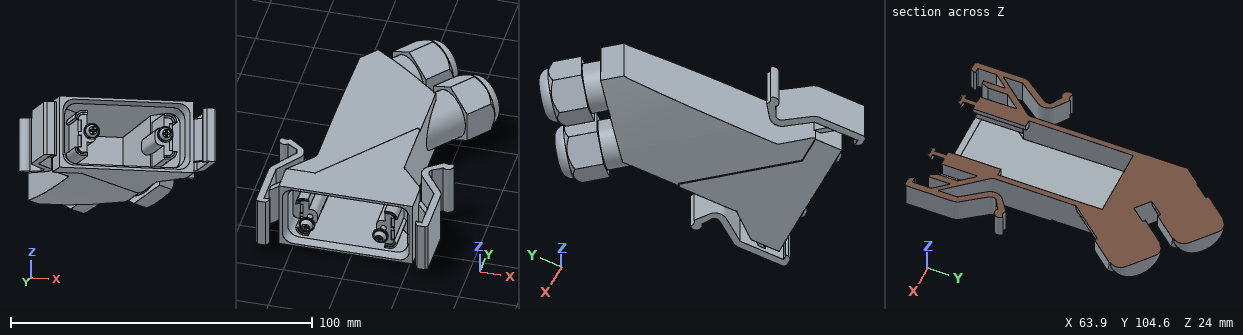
import cadquery as cq
import math

SLANT = math.radians(50)
ALONG = cq.Vector(math.cos(SLANT), math.sin(SLANT))
ACROSS = cq.Vector(-math.sin(SLANT), math.cos(SLANT))

BASE_HALF_WIDTH = 22.9
BASE_HEIGHT = 10.5
NECK_HALF_WIDTH = 15.0
SHOULDER_RUN = BASE_HALF_WIDTH - NECK_HALF_WIDTH
NECK_START = BASE_HEIGHT + SHOULDER_RUN * math.tan(SLANT)
SHOULDER_FILLET = 2.4
NECK_CORNER_Y = 77.3
CORNER_LIP = 0.2
CORNER_LIP_LENGTH = 1.6
PEAK_X = -10.0
PEAK_Y = NECK_CORNER_Y + (PEAK_X + NECK_HALF_WIDTH + CORNER_LIP) * math.tan(SLANT)
GLAND_FACE_END_Y = PEAK_Y - (NECK_HALF_WIDTH - PEAK_X) / math.tan(SLANT)
THICKNESS = 24.0
PAD_STEP = 0.6
NECK_HALF_THICKNESS = THICKNESS / 2 - PAD_STEP
PAD_CORNER = (-13.0, 9.8)
PAD_TIP_X = 14.0

CURVE_START = cq.Vector(-NECK_HALF_WIDTH, 33.7)
CURVE_RADIUS = 221.7
CURVE_REACH = 36.6

MOUTH_HALF_WIDTH = 21.6
MOUTH_HALF_THICKNESS = 11.1
MOUTH_CORNER = 3.8
MOUTH_BEVEL_DEPTH = 2.7
CAVITY_HALF_WIDTH = 20.5
CAVITY_HALF_THICKNESS = 10.1
CAVITY_CORNER = 4.1
CAVITY_SHOULDER_Y = 9.7
DRAFT_START_Y = 11.5
CAVITY_NECK_HALF_WIDTH = 12.8
CAVITY_NECK_Y = CAVITY_SHOULDER_Y + (CAVITY_HALF_WIDTH - CAVITY_NECK_HALF_WIDTH) * math.tan(SLANT)
CAVITY_END_Y = 58.6
CAVITY_END_HALF_THICKNESS = 9.5

FIRST_GLAND = cq.Vector(0.7, 82.6)
GLAND_PITCH = 23.4
SHANK_RADIUS = 8.5
SHANK_LENGTHS = (8.4, 16.7)
NUT_FLATS = 19.0
NUT_CORNERS = NUT_FLATS / math.cos(math.pi / 6)
NUT_EDGE_LENGTH = 9.7
CAP_RADIUS = 9.2
CAP_START = NUT_EDGE_LENGTH + NUT_CORNERS / 2 - CAP_RADIUS
GLAND_LENGTH = 15.4
CAP_FILLET = GLAND_LENGTH - CAP_START

CLIP_WIDTH = 18.0
CLIP_OUTER_X = 29.5
CLIP_THICKNESS = 2.5
CLIP_FOOT_Y = -5.9
CLIP_FOOT_CHAMFER = 0.8
CLIP_HOOK_X = -25.0
CLIP_LIP_Y = -3.8
STRUT_WIDTH = 14.2
STRUT_DROP = 2.6
STRUT_OVERLAP = 0.8

SCREW_X = 12.5
POST_FACE_Y = 1.7
POST_END_Y = 20.9
POST_INNER_X = 13.1
POST_OUTER_X = 16.1
POST_HALF_HEIGHT = 6.4
POST_CORNER = 1.6
HOOK_THICKNESS = 1.3
HOOK_TIP_Z = 4.9
LIP_THICKNESS = 0.6
LIP_HEIGHT = 0.7
LEDGE_HEIGHT = 0.3
BOSS_INNER_X = 10.1
BOSS_HALF_HEIGHT = 2.9
BOSS_CORNER = 1.9
RECESS_WIDTH = 1.0
RECESS_HALF_HEIGHT = 4.5
RECESS_DEPTH = 0.5
RECESS_RIB = 1.3
SHAFT_RADIUS = 0.9
SHAFT_BURIED = 3.1
FLANGE_RADIUS = 2.6
FLANGE_Y = -2.4
FLANGE_THICKNESS = 0.6
HEAD_RADIUS = 2.2
HEAD_TIP_RADIUS = 1.4
HEAD_TIP_Y = -4.6
HEAD_DOME_RADIUS = 2.6
CROSS_LENGTH = 1.9
CROSS_WIDTH = 0.5
CROSS_DEPTH = 0.8


def plate(outline, thickness):
    """Closed XY outline, extruded evenly to both sides of Z = 0."""
    return outline.close().extrude(thickness / 2, both=True)


def rounded_rectangle(half_width, half_thickness, corner):
    return cq.Sketch().rect(2 * half_width, 2 * half_thickness).vertices().fillet(corner)


def mirrored(shape):
    """The shape together with its mirror image across X = 0."""
    return shape.union(shape.mirror("YZ"))


def hood_outline():
    return cq.Workplane("XY").polyline([
        (-BASE_HALF_WIDTH, 0),
        (BASE_HALF_WIDTH, 0),
        (BASE_HALF_WIDTH, BASE_HEIGHT),
        (NECK_HALF_WIDTH, NECK_START),
        (NECK_HALF_WIDTH, GLAND_FACE_END_Y),
        (PEAK_X, PEAK_Y),
        (-NECK_HALF_WIDTH - CORNER_LIP, NECK_CORNER_Y),
        (-NECK_HALF_WIDTH, NECK_CORNER_Y - CORNER_LIP_LENGTH),
        (-NECK_HALF_WIDTH, NECK_START),
        (-BASE_HALF_WIDTH, BASE_HEIGHT),
    ])


def shoulder_fillets(body):
    for x, y in ((NECK_HALF_WIDTH, NECK_START), (BASE_HALF_WIDTH, BASE_HEIGHT)):
        for side in (-1, 1):
            corner = cq.selectors.NearestToPointSelector((side * x, y, 0))
            body = body.edges(corner).fillet(SHOULDER_FILLET)
    return body


def pad():
    """Full-thickness base with the slanted pad that rises from it to the right wall."""
    corner_x, corner_y = PAD_CORNER
    tip_y = corner_y + (PAD_TIP_X - corner_x) * math.tan(SLANT)
    right_y = tip_y - (NECK_HALF_WIDTH - PAD_TIP_X) / math.tan(SLANT)
    outline = cq.Workplane("XY").polyline([
        (-BASE_HALF_WIDTH, 0),
        (BASE_HALF_WIDTH, 0),
        (BASE_HALF_WIDTH, BASE_HEIGHT),
        (NECK_HALF_WIDTH, NECK_START),
        (NECK_HALF_WIDTH, right_y),
        (PAD_TIP_X, tip_y),
        (corner_x, corner_y),
        (-BASE_HALF_WIDTH, corner_y),
    ])
    return plate(outline, THICKNESS)


def neck_relief():
    """Material above the cylindrical faces that thin the neck; the cylinders run along the slant."""
    plane = cq.Plane(origin=CURVE_START.toTuple(), xDir=ACROSS.toTuple(), normal=ALONG.toTuple())

    def drop(distance):
        return CURVE_RADIUS - math.sqrt(CURVE_RADIUS**2 - distance**2)

    top = NECK_HALF_THICKNESS
    cutter = (
        cq.Workplane(plane)
        .moveTo(0, top)
        .threePointArc((CURVE_REACH / 2, top - drop(CURVE_REACH / 2)), (CURVE_REACH, top - drop(CURVE_REACH)))
        .lineTo(CURVE_REACH, top + PAD_STEP)
        .lineTo(0, top + PAD_STEP)
        .close()
        .extrude(PEAK_Y, both=True)
    )
    return cutter.union(cutter.mirror("XY"))


def hood():
    neck = shoulder_fillets(plate(hood_outline(), 2 * NECK_HALF_THICKNESS))
    neck = neck.cut(neck_relief())
    return neck.union(pad())


def cavity():
    into_hood = cq.Workplane("XZ").transformed(rotate=(180, 0, 0))
    mouth = rounded_rectangle(MOUTH_HALF_WIDTH, MOUTH_HALF_THICKNESS, MOUTH_CORNER)
    throat = rounded_rectangle(CAVITY_HALF_WIDTH, CAVITY_HALF_THICKNESS, CAVITY_CORNER)
    bevel_end = throat.moved(cq.Location((0, 0, MOUTH_BEVEL_DEPTH)))
    bevel = into_hood.placeSketch(mouth, bevel_end).loft()
    straight = into_hood.placeSketch(throat).extrude(CAVITY_END_Y)
    plan = cq.Workplane("XY").polyline([
        (-CAVITY_HALF_WIDTH, 0),
        (CAVITY_HALF_WIDTH, 0),
        (CAVITY_HALF_WIDTH, CAVITY_SHOULDER_Y),
        (CAVITY_NECK_HALF_WIDTH, CAVITY_NECK_Y),
        (CAVITY_NECK_HALF_WIDTH, CAVITY_END_Y),
        (-CAVITY_NECK_HALF_WIDTH, CAVITY_END_Y),
        (-CAVITY_NECK_HALF_WIDTH, CAVITY_NECK_Y),
        (-CAVITY_HALF_WIDTH, CAVITY_SHOULDER_Y),
    ])
    side = cq.Workplane("YZ").polyline([
        (0, -CAVITY_HALF_THICKNESS),
        (DRAFT_START_Y, -CAVITY_HALF_THICKNESS),
        (CAVITY_END_Y, -CAVITY_END_HALF_THICKNESS),
        (CAVITY_END_Y, CAVITY_END_HALF_THICKNESS),
        (DRAFT_START_Y, CAVITY_HALF_THICKNESS),
        (0, CAVITY_HALF_THICKNESS),
    ])
    drafted = side.close().extrude(CAVITY_HALF_WIDTH, both=True)
    return straight.intersect(plate(plan, THICKNESS)).intersect(drafted).union(bevel)


def gland(centre, shank_length):
    """Shank, hexagonal nut and rounded cap, with two nut corners pointing along Z."""
    blank = cq.Workplane("XY").polygon(6, NUT_CORNERS).extrude(GLAND_LENGTH)
    turned = (
        cq.Workplane("XZ")
        .lineTo(NUT_CORNERS / 2, 0)
        .lineTo(NUT_CORNERS / 2, NUT_EDGE_LENGTH)
        .lineTo(CAP_RADIUS, CAP_START)
        .radiusArc((CAP_RADIUS - CAP_FILLET, GLAND_LENGTH), -CAP_FILLET)
        .lineTo(0, GLAND_LENGTH)
        .close()
        .revolve(360, (0, 0), (0, 1))
    )
    shank = cq.Workplane("XY").circle(SHANK_RADIUS).extrude(-shank_length)
    plane = cq.Plane(origin=centre.toTuple(), xDir=(0, 0, 1), normal=ALONG.toTuple())
    return blank.intersect(turned).union(shank).val().moved(cq.Location(plane))


def clip():
    """Left spring clip: hooked foot, straight leg, slanted arm, bend and grooved finger grip."""
    outer = -CLIP_OUTER_X
    inner = outer + CLIP_THICKNESS
    outline = (
        cq.Workplane("XY")
        .moveTo(outer, CLIP_FOOT_Y + CLIP_FOOT_CHAMFER)
        .lineTo(outer + CLIP_FOOT_CHAMFER, CLIP_FOOT_Y)
        .lineTo(CLIP_HOOK_X - 0.9, CLIP_FOOT_Y)
        .lineTo(CLIP_HOOK_X, -4.5)
        .lineTo(CLIP_HOOK_X, -3.3)
        .lineTo(CLIP_HOOK_X - 0.6, CLIP_LIP_Y)
        .lineTo(inner, CLIP_LIP_Y)
        .lineTo(inner, 12.4)
        .lineTo(-20.7, 20.9)
        .threePointArc((-20.2, 23.4), (-21.5, 26.2))
        .lineTo(-26.5, 29.9)
        .threePointArc((-27.8, 29.3), (-29.1, 29.9))
        .threePointArc((-29.9, 28.4), (-29.5, 27.1))
        .threePointArc((-27.8, 26.2), (-26.6, 26.8))
        .lineTo(-25.5, 26.0)
        .lineTo(-23.2, 24.8)
        .threePointArc((-22.6, 23.4), (-23.0, 22.1))
        .lineTo(-28.9, 13.9)
        .threePointArc((-29.3, 13.0), (outer, 11.9))
    )
    return plate(outline, CLIP_WIDTH)


def strut():
    """Arm that carries the left clip and continues the line of the shoulder."""
    clip_x = CLIP_THICKNESS - CLIP_OUTER_X - STRUT_OVERLAP
    base_x = STRUT_OVERLAP - BASE_HALF_WIDTH
    clip_y = BASE_HEIGHT + (clip_x + BASE_HALF_WIDTH) * math.tan(SLANT)
    outline = cq.Workplane("XY").polyline([
        (clip_x, clip_y),
        (-BASE_HALF_WIDTH, BASE_HEIGHT),
        (base_x, BASE_HEIGHT),
        (base_x, BASE_HEIGHT - STRUT_DROP),
        (-BASE_HALF_WIDTH, BASE_HEIGHT - STRUT_DROP),
        (clip_x, clip_y - STRUT_DROP),
    ])
    return plate(outline, STRUT_WIDTH)


def bar(x_low, x_high, half_height, y_low, y_high):
    """Box centred on Z = 0."""
    size = (x_high - x_low, y_high - y_low, 2 * half_height)
    centre = ((x_low + x_high) / 2, (y_low + y_high) / 2, 0)
    return cq.Workplane("XY").box(*size).translate(centre)


def post_shell(growth, start_y):
    """Web of the right post, enlarged by the given growth, with rounded outer corners."""
    outer_x = POST_OUTER_X + growth
    shell = bar(POST_INNER_X, outer_x, POST_HALF_HEIGHT + growth, start_y, POST_END_Y)
    return shell.edges("|Y and >X").fillet(POST_CORNER + growth)


def screw_post():
    """Right post: web, rounded boss for the screw, and a stepped hook round each outer corner."""
    web = post_shell(0, POST_FACE_Y)
    ledge_growth = HOOK_THICKNESS - LIP_THICKNESS
    lip_y = POST_FACE_Y - LIP_HEIGHT
    ledge_y = POST_FACE_Y - LEDGE_HEIGHT
    lip = post_shell(HOOK_THICKNESS, lip_y).cut(post_shell(ledge_growth, lip_y))
    ledge = post_shell(ledge_growth, ledge_y).cut(post_shell(0, ledge_y))
    hooks = lip.union(ledge)
    gap = bar(POST_INNER_X, POST_OUTER_X + 2 * HOOK_THICKNESS, HOOK_TIP_Z, 0, POST_END_Y)
    boss = bar(BOSS_INNER_X, POST_OUTER_X, BOSS_HALF_HEIGHT, POST_FACE_Y, POST_END_Y)
    boss = boss.edges("|Y and <X").fillet(BOSS_CORNER)
    recess = bar(
        POST_OUTER_X - RECESS_WIDTH, POST_OUTER_X, RECESS_HALF_HEIGHT, POST_FACE_Y, POST_FACE_Y + RECESS_DEPTH
    )
    recess = recess.cut(bar(0, POST_OUTER_X, RECESS_RIB / 2, POST_FACE_Y, POST_END_Y))
    post = hooks.cut(gap).union(web).union(boss).cut(recess)
    return post.intersect(plate(hood_outline(), THICKNESS))


def screw():
    """Right screw: shaft, flange and cross-slotted domed head pointing to -Y."""
    flange_front = FLANGE_Y - FLANGE_THICKNESS
    turned = (
        cq.Workplane("XY")
        .moveTo(0, POST_FACE_Y + SHAFT_BURIED)
        .lineTo(SHAFT_RADIUS, POST_FACE_Y + SHAFT_BURIED)
        .lineTo(SHAFT_RADIUS, FLANGE_Y)
        .lineTo(FLANGE_RADIUS, FLANGE_Y)
        .lineTo(FLANGE_RADIUS, flange_front)
        .lineTo(HEAD_RADIUS, flange_front)
        .radiusArc((HEAD_TIP_RADIUS, HEAD_TIP_Y), HEAD_DOME_RADIUS)
        .lineTo(0, HEAD_TIP_Y)
        .close()
        .revolve(360, (0, 0), (0, 1))
    )
    slot_end = HEAD_TIP_Y + CROSS_DEPTH
    cross = bar(-CROSS_LENGTH / 2, CROSS_LENGTH / 2, CROSS_WIDTH / 2, HEAD_TIP_Y, slot_end)
    cross = cross.union(bar(-CROSS_WIDTH / 2, CROSS_WIDTH / 2, CROSS_LENGTH / 2, HEAD_TIP_Y, slot_end))
    return turned.cut(cross).translate((SCREW_X, 0, 0))


body = hood()
for index, shank_length in enumerate(SHANK_LENGTHS):
    centre = FIRST_GLAND - ACROSS * (index * GLAND_PITCH)
    body = body.union(cq.Workplane(gland(centre, shank_length)))
body = body.cut(cavity())
body = body.union(mirrored(screw_post())).union(mirrored(screw()))
body = body.union(mirrored(strut())).union(mirrored(clip()))
result = body.solids()